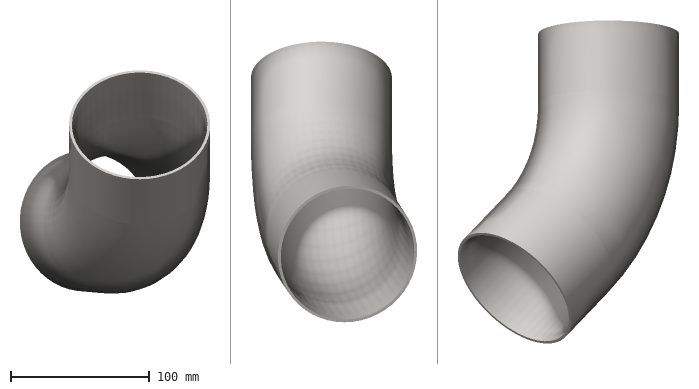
import cadquery as cq
import math

overall_height = 231.0
outer_diameter = 101.7
wall_thickness = 2.0
bend_angle = 45.0
bend_radius = 1.5 * outer_diameter

outer_radius = outer_diameter / 2
inner_radius = outer_radius - wall_thickness
bend_sine = math.sin(math.radians(bend_angle))
bend_cosine = math.cos(math.radians(bend_angle))

bend_height = (bend_radius + outer_radius) * bend_sine
end_length = (overall_height - bend_height) / (1 + bend_sine)

bend_middle = (
    -bend_radius * (1 - math.cos(math.radians(bend_angle / 2))),
    -bend_radius * math.sin(math.radians(bend_angle / 2)),
)
bend_end = (-bend_radius * (1 - bend_cosine), -bend_radius * bend_sine)
pipe_end = (
    bend_end[0] - end_length * bend_sine,
    bend_end[1] - end_length * bend_cosine,
)
centreline = (
    cq.Workplane("XZ")
    .moveTo(0, end_length)
    .lineTo(0, 0)
    .threePointArc(bend_middle, bend_end)
    .lineTo(*pipe_end)
)

result = (
    cq.Workplane("XY", origin=(0, 0, end_length))
    .circle(outer_radius)
    .circle(inner_radius)
    .sweep(centreline)
)